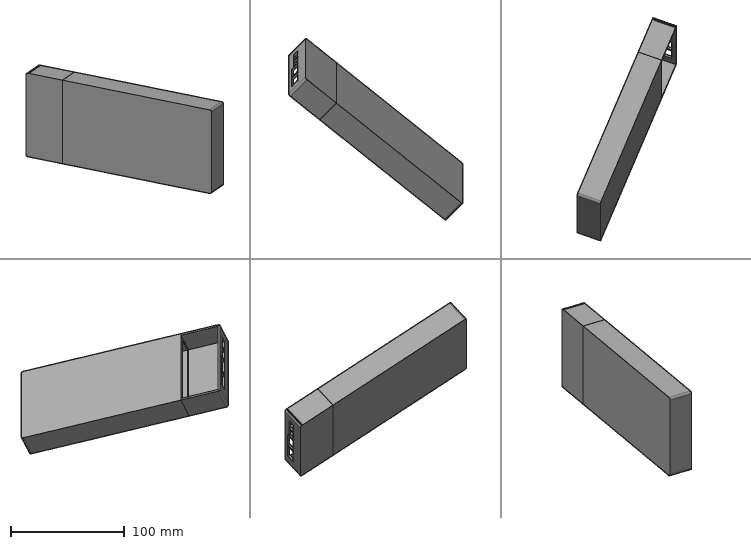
import cadquery as cq

length = 185.3
depth = 22.0
height = 79.1
corner_radius = 2.0

cap_length = 36.5
cap_wall = 2.0
housing_wall = 5.0

port_y = 10.4
small_port_depth = 5.5
small_port_height = 10.2
large_port_depth = 7.8
large_port_height = 15.4
small_port_bottoms = [46.0, 58.2]
large_port_bottoms = [11.7, 29.1]

groove_inset = 1.5
groove_width = 1.0
groove_depth = 0.4


def block(corner, size):
    """Box with its lowest corner at the given point."""
    return cq.Workplane("XY").box(*size, centered=False).translate(corner)


def round_end(body, end_selector):
    """Round the two Y-parallel edges of one end face."""
    return body.faces(end_selector).edges("|Y").fillet(corner_radius)


def port_window(bottom, window_depth, window_height):
    """Cutter for one rectangular window through the end wall."""
    return block((0, port_y, bottom), (cap_wall, window_depth, window_height))


def make_port_cap():
    """Tray, open at +Y and towards the housing, with port windows in its end wall."""
    cap = round_end(block((0, 0, 0), (cap_length, depth, height)), "<X")

    cavity = block(
        (cap_wall, cap_wall, cap_wall),
        (cap_length - cap_wall, depth - cap_wall, height - 2 * cap_wall),
    )
    cap = cap.cut(cavity)

    for bottom in small_port_bottoms:
        cap = cap.cut(port_window(bottom, small_port_depth, small_port_height))
    for bottom in large_port_bottoms:
        cap = cap.cut(port_window(bottom, large_port_depth, large_port_height))

    groove = block(
        (groove_inset, groove_inset, height - groove_depth),
        (groove_width, depth - groove_inset, groove_depth),
    )
    return cap.cut(groove)


def make_main_housing():
    """Thick-walled box, open only towards the cap."""
    housing_length = length - cap_length
    housing = round_end(block((cap_length, 0, 0), (housing_length, depth, height)), ">X")

    cavity = block(
        (cap_length, housing_wall, housing_wall),
        (housing_length - housing_wall, depth - 2 * housing_wall, height - 2 * housing_wall),
    )
    return housing.cut(cavity)


port_cap = make_port_cap()
main_housing = make_main_housing()

result = cq.Compound.makeCompound([port_cap.solids().val(), main_housing.solids().val()])